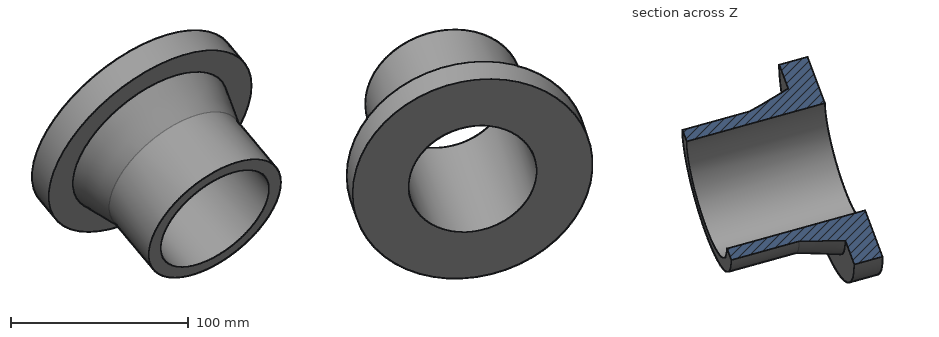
import cadquery as cq

flange_diameter = 138.0
flange_thickness = 17.0

total_length = 82.0
pipe_length = 40.0
pipe_diameter = 90.0
bore_diameter = 73.5

neck_base_diameter = 105.2

flange_radius = flange_diameter / 2
pipe_radius = pipe_diameter / 2
bore_radius = bore_diameter / 2
neck_base_radius = neck_base_diameter / 2
neck_end = total_length - pipe_length

half_section = (
    cq.Workplane("XY")
    .moveTo(0, bore_radius)
    .lineTo(0, flange_radius)
    .lineTo(flange_thickness, flange_radius)
    .lineTo(flange_thickness, neck_base_radius)
    .lineTo(neck_end, pipe_radius)
    .lineTo(total_length, pipe_radius)
    .lineTo(total_length, bore_radius)
    .close()
)

result = half_section.revolve(360, (0, 0, 0), (1, 0, 0))